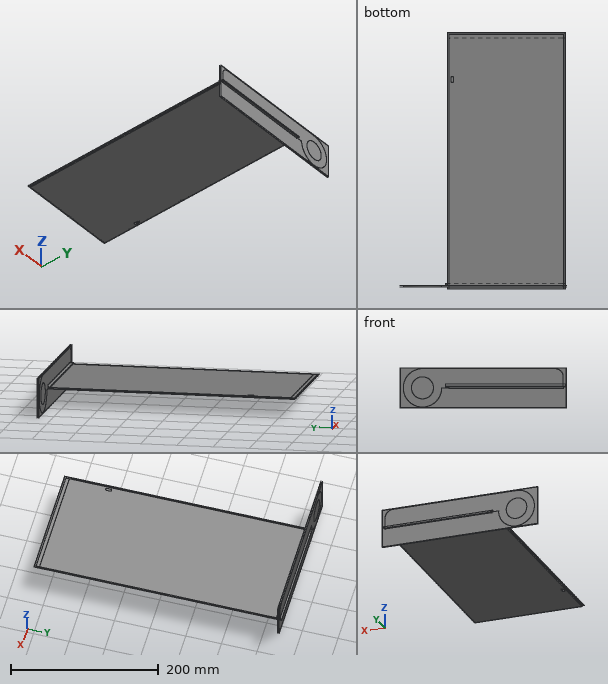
import cadquery as cq

LENGTH = 347.0
PLATE_WIDTH = 224.8
PLATE_HEIGHT = 54.0
SHEET = 0.15
PLATE_CORE = 2.0
TRAY_CORE = 2.15
OVERHANG = 2.5

PLATE_FRONT = 342.0
CAM_RADIUS = 26.0
CAM_CENTER_X = 30.2
CAM_RIGHT = 220.5
CAM_CORNER_RADIUS = 11.0
POCKET_RADIUS = 15.0

TRAY_LEFT = 63.8
TRAY_RIGHT = 223.5
FILM = 0.07
FILM_LEFT = 66.0
FILM_FRONT = 7.3
FILM_CORNER_RADIUS = 2.5
BEVEL_DROP = 0.15
SLOT_X = 70.5
SLOT_Y = 63.5
SLOT_WIDTH = 3.5
SLOT_LENGTH = 8.3

COVE_DEPTH = 2.5
COVE_HEIGHT = 4.0
COVE_LIP = 0.17
COVE_FOOT = 1.5
COVE_LEFT = TRAY_LEFT - OVERHANG

core_top = TRAY_CORE / 2
tray_top = core_top + SHEET


def box(x_range, y_range, z_range):
    """Box between pairs of limits along X, Y and Z."""
    sizes = [high - low for low, high in (x_range, y_range, z_range)]
    corner = (x_range[0], y_range[0], z_range[0])
    return cq.Workplane("XY").box(*sizes, centered=False).translate(corner)


def xz_plane(y):
    """Workplane facing -Y at the given Y; extruding by a negative length goes toward +Y."""
    return cq.Workplane("XZ", origin=(0, y, 0))


def cam_core():
    """Round head with a straight arm to the right, with a round pocket that the sheets close."""
    y = PLATE_FRONT + SHEET
    head = xz_plane(y).center(CAM_CENTER_X, 0).circle(CAM_RADIUS).extrude(-PLATE_CORE)
    arm = box((CAM_CENTER_X, CAM_RIGHT), (y, y + PLATE_CORE), (0, CAM_RADIUS))
    arm = arm.edges("|Y and >X and >Z").fillet(CAM_CORNER_RADIUS)
    pocket = xz_plane(y).center(CAM_CENTER_X, 0).circle(POCKET_RADIUS).extrude(-PLATE_CORE)
    return head.union(arm).cut(pocket)


def upright_plate():
    """Cam core with a rectangular sheet on each face."""
    plate = cam_core()
    half_height = PLATE_HEIGHT / 2
    for y in (PLATE_FRONT, PLATE_FRONT + SHEET + PLATE_CORE):
        plate = plate.union(box((0, PLATE_WIDTH), (y, y + SHEET), (-half_height, half_height)))
    return plate


def tray():
    """Top sheet with a film on it, over an inset core that is slotted and beveled in front."""
    sheet = box((TRAY_LEFT, TRAY_RIGHT), (0, LENGTH), (core_top, tray_top))
    core_left = TRAY_LEFT + OVERHANG
    core_right = TRAY_RIGHT - OVERHANG
    core = (
        cq.Workplane("YZ", origin=(core_left, 0, 0))
        .moveTo(OVERHANG, -core_top)
        .lineTo(LENGTH, -core_top)
        .lineTo(LENGTH, core_top)
        .lineTo(FILM_FRONT, core_top)
        .lineTo(OVERHANG, core_top - BEVEL_DROP)
        .close()
        .extrude(core_right - core_left)
    )
    slot = (
        cq.Workplane("XY", origin=(SLOT_X, SLOT_Y, -core_top))
        .slot2D(SLOT_LENGTH, SLOT_WIDTH, angle=90)
        .extrude(TRAY_CORE)
    )
    film = box((FILM_LEFT, TRAY_RIGHT), (FILM_FRONT, PLATE_FRONT), (tray_top, tray_top + FILM))
    film = film.edges("|Z and <X and <Y").fillet(FILM_CORNER_RADIUS)
    return sheet.union(core.cut(slot)).union(film)


def cove_strip():
    """Strip with a hollow quarter-round face, running along the plate."""
    front = PLATE_FRONT - COVE_DEPTH
    top = tray_top + COVE_HEIGHT
    foot_top = tray_top + COVE_FOOT
    radius = COVE_DEPTH - COVE_LIP
    return (
        cq.Workplane("YZ", origin=(COVE_LEFT, 0, 0))
        .moveTo(front, tray_top)
        .lineTo(PLATE_FRONT, tray_top)
        .lineTo(PLATE_FRONT, top)
        .lineTo(PLATE_FRONT - COVE_LIP, top)
        .lineTo(PLATE_FRONT - COVE_LIP, foot_top + radius)
        .radiusArc((front, foot_top), radius)
        .close()
        .extrude(TRAY_RIGHT - COVE_LEFT)
    )


result = upright_plate().union(tray()).union(cove_strip())